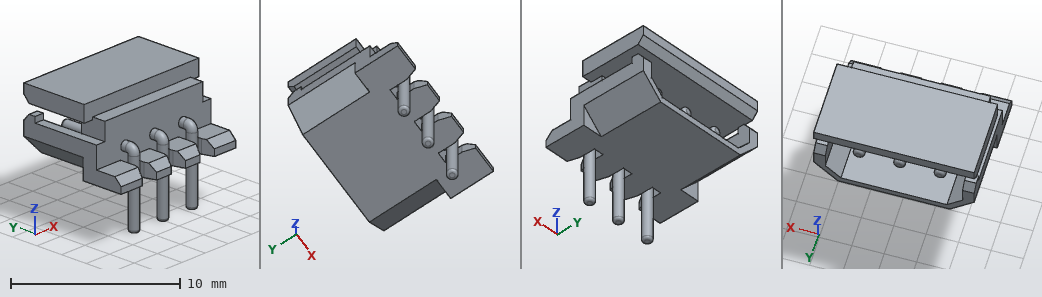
import cadquery as cq


width = 9.9
body_depth = 5.9
plate_depth = 4.91
plate_top = 4.91
plate_thickness = 1.2
plate_bottom = plate_top - plate_thickness
block_top = 3.9
side_wall_top = 2.59
side_wall_thickness = 0.72
cavity_depth = 4.01

lip_top = 3.02
lip_depth = 0.93
bevel_depth = 0.43
bevel_height = 0.495

side_bevel = 1.5
side_bevel_depth = 4.82
floor_thickness = 0.44
inner_bevel_top = 1.4
inner_bevel_width = inner_bevel_top - floor_thickness

foot_length = 2.0
foot_height = 1.0
foot_bevel = 0.5
notch_width = 0.73
notch_mouth_width = 1.23
notch_flare_length = 0.8

pin_count = 3
pin_pitch = 2.49
pin_radius = 0.351
pin_tip_fillet = 0.19
pin_bottom = -3.48
pin_axis_z = 1.83
pin_leg_y = -6.64
pin_bend_inner_radius = 0.01
pin_bend_radius = pin_radius + pin_bend_inner_radius
pin_mouth_setback = 0.99

foot_end = -(body_depth + foot_length)
half_width = width / 2
cavity_half_width = half_width - side_wall_thickness
pin_positions = [(i - (pin_count - 1) / 2) * pin_pitch for i in range(pin_count)]


def extrude_across(outline, span):
    """Extrude a closed (y, z) outline along X, centred on X = 0."""
    return cq.Workplane("YZ").polyline(outline).close().extrude(span / 2, both=True)


def make_lower_body():
    """Side walls with lips, back wall base and feet, as one side profile."""
    outline = [
        (0, 0),
        (0, lip_top - bevel_height),
        (-bevel_depth, lip_top),
        (-lip_depth, lip_top),
        (-lip_depth, side_wall_top),
        (-body_depth, side_wall_top),
        (-body_depth, foot_height),
        (foot_end + foot_bevel, foot_height),
        (foot_end, foot_height - foot_bevel),
        (foot_end, 0),
    ]
    return extrude_across(outline, width)


def make_back_block():
    """Narrower back wall that carries the top plate."""
    outline = [
        (-cavity_depth, 0),
        (-cavity_depth, block_top),
        (-body_depth, block_top),
        (-body_depth, 0),
    ]
    return extrude_across(outline, 2 * cavity_half_width)


def make_top_plate():
    outline = [
        (0, plate_top),
        (0, plate_bottom + bevel_height),
        (-bevel_depth, plate_bottom),
        (-plate_depth, plate_bottom),
        (-plate_depth, plate_top),
    ]
    return extrude_across(outline, width)


def make_cavity():
    """Mating opening, with lower corners bevelled to follow the outside."""
    floor_half_width = cavity_half_width - inner_bevel_width
    outline = [
        (-cavity_half_width, plate_bottom),
        (-cavity_half_width, inner_bevel_top),
        (-floor_half_width, floor_thickness),
        (floor_half_width, floor_thickness),
        (cavity_half_width, inner_bevel_top),
        (cavity_half_width, plate_bottom),
    ]
    return cq.Workplane("XZ").polyline(outline).close().extrude(cavity_depth)


def make_side_bevel(side):
    """Wedge removed from one lower edge; side is -1 or +1."""
    outline = [
        (side * half_width, 0),
        (side * half_width, side_bevel),
        (side * (half_width - side_bevel), 0),
    ]
    return cq.Workplane("XZ").polyline(outline).close().extrude(side_bevel_depth)


def make_foot_notch(x):
    """Slot between two feet that flares toward their free ends."""
    flare_start = foot_end + notch_flare_length
    outline = [
        (x - notch_width / 2, -body_depth),
        (x - notch_width / 2, flare_start),
        (x - notch_mouth_width / 2, foot_end),
        (x + notch_mouth_width / 2, foot_end),
        (x + notch_width / 2, flare_start),
        (x + notch_width / 2, -body_depth),
    ]
    return cq.Workplane("XY").polyline(outline).close().extrude(foot_height)


def make_pin(x):
    """Bent round pin: a leg down, a quarter bend and a contact along +Y."""
    bend_y = pin_leg_y + pin_bend_radius
    bend_z = pin_axis_z - pin_bend_radius
    down_leg = (
        cq.Workplane("XY", origin=(x, pin_leg_y, pin_bottom))
        .circle(pin_radius)
        .extrude(bend_z - pin_bottom)
        .faces("<Z").edges().fillet(pin_tip_fillet)
    )
    contact = (
        cq.Workplane("XZ", origin=(x, -pin_mouth_setback, pin_axis_z))
        .circle(pin_radius)
        .extrude(-pin_mouth_setback - bend_y)
        .faces(">Y").edges().fillet(pin_tip_fillet)
    )
    bend = (
        cq.Workplane("XY", origin=(x, pin_leg_y, bend_z))
        .circle(pin_radius)
        .revolve(90, (0, pin_bend_radius), (-1, pin_bend_radius))
    )
    return down_leg.union(bend).union(contact)


housing = make_lower_body().cut(make_cavity())
housing = housing.union(make_back_block()).union(make_top_plate())
for side in (-1, 1):
    housing = housing.cut(make_side_bevel(side))
for x in pin_positions:
    housing = housing.cut(make_foot_notch(x))

result = housing
for x in pin_positions:
    result = result.union(make_pin(x))